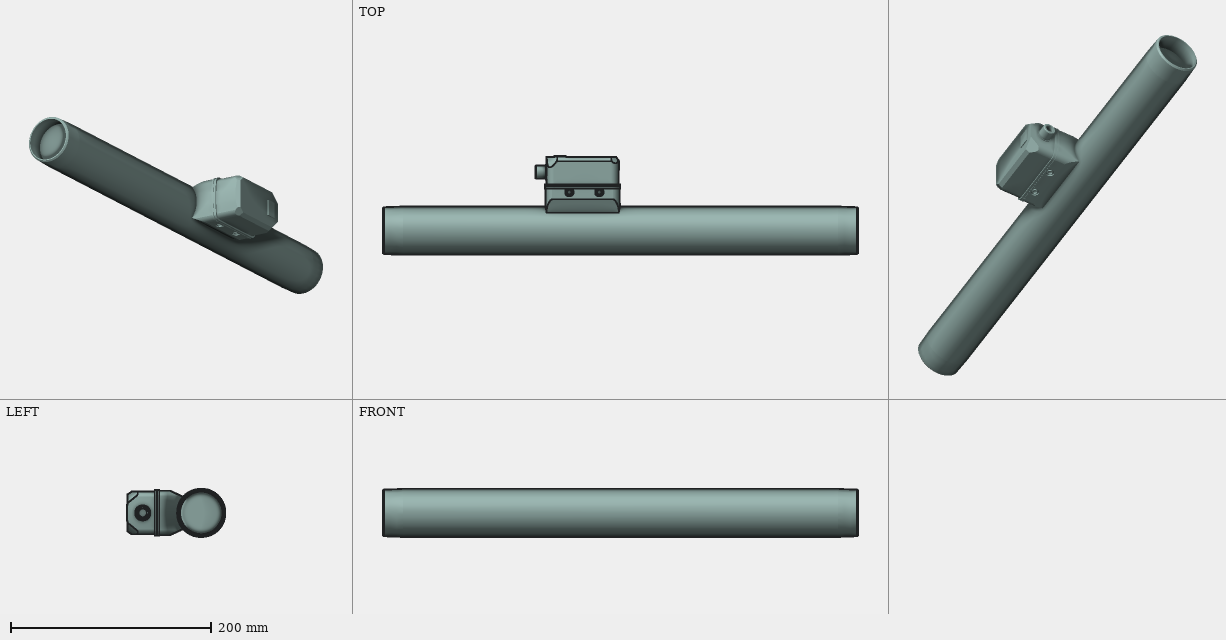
import cadquery as cq
import math

overall_width = 99.0

tube_length = 475
tube_diameter = 48.5
bore_diameter = 42.5
bore_depth = 18.0
end_length = 20.5
end_diameter = 47.0
end_chamfer = 1.5

housing_left = -73.5
housing_right = -2.0
end_bulge = 1.5
corner_length = 8.0
corner_width = 4.8
block_left = housing_left - end_bulge
block_right = housing_right + end_bulge
block_length = block_right - block_left

base_height = 44.5
taper_top = 31.5
taper_bottom = 18.0
neck_height = 32.5
joint_bottom = 42.0
joint_top = 46.5

lid_inset = 1.0
lid_height = base_height - 2 * lid_inset
lid_top = 73.5
side_bevel_width = 3.0
side_bevel_drop = 4.5
rear_bevel_length = 4.0
rear_bevel_drop = 5.5
front_corner_cut = (15.0, 18.0, 13.0)
rear_corner_cut = (12.5, 13.5, 10.5)

rim_overhang = 0.5
rim_thickness = 2.0

screw_spacing = 30.0
screw_middle = -36.0
screw_y = 38.5
head_diameter = 8.5
head_depth = 1.5
hub_diameter = 5.5
screw_hole_diameter = 4.45
screw_hole_depth = 4.8

connector_y = 58.5
connector_diameter = 13.5
connector_tip_diameter = 12.0
collar_diameter = 15.0
collar_end = -74.5
connector_end = -85.0
socket_diameter = 8.5
socket_depth = 7.0

button_length = 11.5
button_width = 16.0
button_middle = -60.5
button_top = overall_width - tube_diameter / 2

overlap = 2.5


def x_cylinder(diameter, start, end, y=0):
    """Cylinder along X between two X positions."""
    return cq.Workplane("YZ", origin=(start, y, 0)).circle(diameter / 2).extrude(end - start)


def housing_slab(bottom, top, inset=0):
    """Slab standing along Y with bulged ends and rounded corners, drawn in by the inset."""
    left = housing_left + inset
    right = housing_right - inset
    half = base_height / 2 - inset
    flat_left = housing_left + corner_length
    flat_right = housing_right - corner_length
    end_half = half - corner_width
    arc_x = corner_length * (1 - math.sqrt(0.5))
    arc_z = half - corner_width * (1 - math.sqrt(0.5))
    slab = (
        cq.Workplane("XZ", origin=(0, bottom, 0))
        .moveTo(flat_left, half)
        .lineTo(flat_right, half)
        .threePointArc((right - arc_x, arc_z), (right, end_half))
        .threePointArc((right + end_bulge, 0), (right, -end_half))
        .threePointArc((right - arc_x, -arc_z), (flat_right, -half))
        .lineTo(flat_left, -half)
        .threePointArc((left + arc_x, -arc_z), (left, -end_half))
        .threePointArc((left - end_bulge, 0), (left, end_half))
        .threePointArc((left + arc_x, arc_z), (flat_left, half))
        .close()
    )
    return slab.extrude(bottom - top)


def make_tube():
    half = tube_length / 2
    shoulder = half - end_length
    radius = tube_diameter / 2
    end_radius = end_diameter / 2
    outline = [
        (-half, 0),
        (-half, end_radius - end_chamfer),
        (-half + end_chamfer, end_radius),
        (-shoulder, radius),
        (shoulder, radius),
        (half - end_chamfer, end_radius),
        (half, end_radius - end_chamfer),
        (half, 0),
    ]
    tube = cq.Workplane("XY").polyline(outline).close().revolve(360, (0, 0, 0), (1, 0, 0))
    tube = tube.cut(x_cylinder(bore_diameter, -half, -half + bore_depth))
    return tube.cut(x_cylinder(bore_diameter, half - bore_depth, half))


def make_base():
    """Base whose broad sides taper towards the tube."""
    top = joint_bottom + overlap
    profile = [
        (0, -neck_height / 2),
        (taper_bottom, -neck_height / 2),
        (taper_top, -base_height / 2),
        (top, -base_height / 2),
        (top, base_height / 2),
        (taper_top, base_height / 2),
        (taper_bottom, neck_height / 2),
        (0, neck_height / 2),
    ]
    taper = cq.Workplane("YZ", origin=(block_left, 0, 0)).polyline(profile).close()
    return housing_slab(0, top).intersect(taper.extrude(block_length))


def corner_wedge(corner_x, direction, side, size):
    """Pyramid that removes one top corner of the lid, sized along X, Y and Z."""
    size_x, size_y, size_z = size
    corner = cq.Vector(corner_x, lid_top, side * lid_height / 2)
    tips = [
        corner + cq.Vector(direction * size_x, 0, 0),
        corner + cq.Vector(0, -size_y, 0),
        corner + cq.Vector(0, 0, -side * size_z),
    ]
    triangles = [tips]
    triangles += [[corner, tips[i], tips[(i + 1) % 3]] for i in range(3)]
    faces = [cq.Face.makeFromWires(cq.Wire.makePolygon(t, close=True)) for t in triangles]
    return cq.Workplane(cq.Solid.makeSolid(cq.Shell.makeShell(faces)))


def make_lid():
    """Lid with bevelled long top edges, a bevelled rear edge and four cut corners."""
    bottom = joint_top - overlap
    lid = housing_slab(bottom, lid_top, lid_inset)
    half = lid_height / 2
    profile = [
        (bottom, -half),
        (lid_top - side_bevel_drop, -half),
        (lid_top, -half + side_bevel_width),
        (lid_top, half - side_bevel_width),
        (lid_top - side_bevel_drop, half),
        (bottom, half),
    ]
    bevel = cq.Workplane("YZ", origin=(block_left, 0, 0)).polyline(profile).close()
    lid = lid.intersect(bevel.extrude(block_length))
    rear_bevel = (
        cq.Workplane("XY", origin=(0, 0, -half))
        .moveTo(block_right, lid_top)
        .lineTo(block_right - rear_bevel_length, lid_top)
        .lineTo(block_right, lid_top - rear_bevel_drop)
        .close()
        .extrude(lid_height)
    )
    lid = lid.cut(rear_bevel)
    for side in (-1, 1):
        lid = lid.cut(corner_wedge(block_left, 1, side, front_corner_cut))
        lid = lid.cut(corner_wedge(block_right, -1, side, rear_corner_cut))
    return lid


def make_joint():
    lower = housing_slab(joint_bottom, joint_bottom + rim_thickness, -rim_overhang)
    upper = housing_slab(joint_top - rim_thickness, joint_top, -rim_overhang)
    gasket = housing_slab(joint_bottom, joint_top)
    return gasket.union(lower).union(upper)


def make_screw_recess(x, side):
    """Ring-shaped recess around a hub with a blind hole, sunk into one broad side of the base."""
    face = cq.Workplane("XY", origin=(x, screw_y, side * base_height / 2))
    recess = face.circle(head_diameter / 2).circle(hub_diameter / 2).extrude(-side * head_depth)
    pilot = face.circle(screw_hole_diameter / 2).extrude(-side * screw_hole_depth)
    return recess.add(pilot)


def make_connector():
    connector = x_cylinder(connector_diameter, connector_end, housing_left + overlap, connector_y)
    tip_chamfer = (connector_diameter - connector_tip_diameter) / 2
    connector = connector.faces("<X").chamfer(tip_chamfer)
    connector = connector.union(
        x_cylinder(collar_diameter, collar_end, housing_left + overlap, connector_y)
    )
    socket_floor = connector_end + socket_depth
    return connector.cut(x_cylinder(socket_diameter, connector_end, socket_floor, connector_y))


def make_button():
    height = button_top - lid_top + overlap
    button = cq.Workplane("XY").box(button_length, height, button_width)
    return button.translate((button_middle, button_top - height / 2, 0))


base = make_base()
for screw_x in (screw_middle - screw_spacing / 2, screw_middle + screw_spacing / 2):
    for side in (-1, 1):
        base = base.cut(make_screw_recess(screw_x, side))

result = make_tube().union(base).union(make_lid()).union(make_joint())
result = result.union(make_connector()).union(make_button())